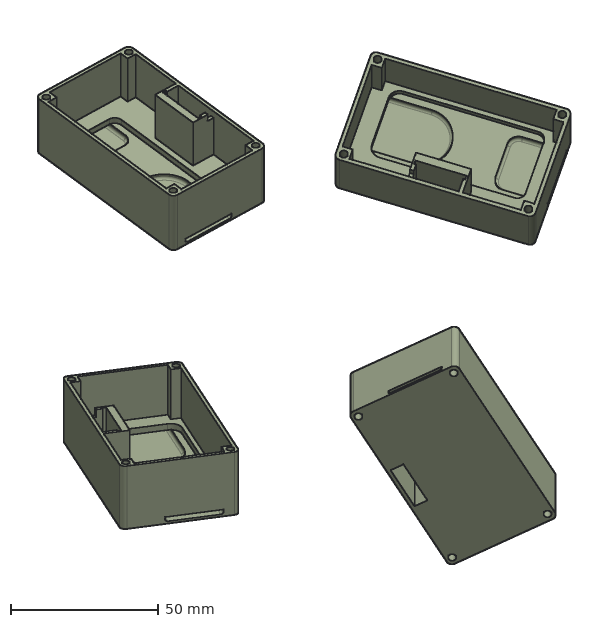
import cadquery as cq

LENGTH = 71.4
WIDTH = 42.0
HEIGHT = 23.9
CORNER_RADIUS = 2.0
WALL = 1.4
FLOOR_TOP = 5.0

POST_SIZE = 3.65
SCREW_DIAMETER = 2.7
SCREW_INSET_X = 2.7
SCREW_INSET_Y = 2.5

HOUSING_LENGTH = 19.7
HOUSING_FRONT_Y = 10.35
OPENING_FRONT_Y = 14.6
GROOVE_DEPTH = 0.7
GROOVE_WIDTH = 1.35
NOTCH_FRONT_Y = 17.0
NOTCH_DEPTH = 2.85

POCKET_LENGTH = 55.25
POCKET_WIDTH = 25.85
POCKET_CENTER_Y = -4.9
POCKET_LEFT_RADIUS = 3.0
POCKET_RIGHT_RADIUS = 4.0
POCKET_FLOOR = 2.65

CHANNEL_WIDTH = 20.7
CHANNEL_FLOOR = 0.9
CHANNEL_EDGE_RADIUS = 1.0
LEFT_CHANNEL_END_X = -15.7
LEFT_CHANNEL_CORNER_RADIUS = 4.0
RIGHT_CHANNEL_END_X = 2.2

INNER_LENGTH = LENGTH - 2 * WALL
INNER_WIDTH = WIDTH - 2 * WALL
INNER_BACK_Y = INNER_WIDTH / 2
OVERRUN = 3.6


def block(x_range, y_range, z_range):
    """Box spanning the given ranges."""
    (x0, x1), (y0, y1), (z0, z1) = x_range, y_range, z_range
    return cq.Workplane("XY").box(x1 - x0, y1 - y0, z1 - z0, centered=False).translate((x0, y0, z0))


def make_shell():
    """Open-topped box with a square post in each inner corner."""
    outer = cq.Workplane("XY").rect(LENGTH, WIDTH).extrude(HEIGHT).edges("|Z").fillet(CORNER_RADIUS)
    cavity = cq.Workplane("XY").workplane(offset=FLOOR_TOP).rect(INNER_LENGTH, INNER_WIDTH).extrude(HEIGHT)
    posts = (
        cq.Workplane("XY")
        .workplane(offset=FLOOR_TOP)
        .rect(INNER_LENGTH - POST_SIZE, INNER_WIDTH - POST_SIZE, forConstruction=True)
        .vertices()
        .rect(POST_SIZE, POST_SIZE)
        .extrude(HEIGHT)
    )
    return outer.cut(cavity.cut(posts))


def make_screw_holes():
    """Cylinders through the full height at the four posts."""
    return (
        cq.Workplane("XY")
        .rect(LENGTH - 2 * SCREW_INSET_X, WIDTH - 2 * SCREW_INSET_Y, forConstruction=True)
        .vertices()
        .circle(SCREW_DIAMETER / 2)
        .extrude(HEIGHT)
    )


def add_housing(body):
    """Three-sided housing with a through opening, a panel groove and a notched +X side."""
    half_length = HOUSING_LENGTH / 2
    half_opening = half_length - WALL
    half_groove = half_opening + GROOVE_DEPTH
    groove_front_y = OPENING_FRONT_Y - GROOVE_WIDTH

    housing = block((-half_length, half_length), (HOUSING_FRONT_Y, INNER_BACK_Y), (FLOOR_TOP, HEIGHT))
    opening = block((-half_opening, half_opening), (OPENING_FRONT_Y, INNER_BACK_Y), (0, HEIGHT))
    groove = block((-half_groove, half_groove), (groove_front_y, OPENING_FRONT_Y), (FLOOR_TOP, HEIGHT))
    notch = block((half_opening, half_length), (NOTCH_FRONT_Y, INNER_BACK_Y), (HEIGHT - NOTCH_DEPTH, HEIGHT))
    return body.union(housing).cut(opening).cut(groove).cut(notch)


def make_pocket():
    """Rectangle with tighter corners at -X than at +X, cut from the floor."""
    return (
        cq.Workplane("XY")
        .workplane(offset=POCKET_FLOOR)
        .center(0, POCKET_CENTER_Y)
        .rect(POCKET_LENGTH, POCKET_WIDTH)
        .extrude(FLOOR_TOP - POCKET_FLOOR)
        .edges("|Z and <X")
        .fillet(POCKET_LEFT_RADIUS)
        .edges("|Z and >X")
        .fillet(POCKET_RIGHT_RADIUS)
    )


def make_left_channel():
    """Channel with two rounded inner corners, open at -X."""
    start_x = -LENGTH / 2 - OVERRUN
    half_width = CHANNEL_WIDTH / 2
    y_range = (POCKET_CENTER_Y - half_width, POCKET_CENTER_Y + half_width)
    channel = block((start_x, LEFT_CHANNEL_END_X), y_range, (CHANNEL_FLOOR, POCKET_FLOOR))
    return channel.edges("|Z and >X").fillet(LEFT_CHANNEL_CORNER_RADIUS).faces("<Z").edges().fillet(
        CHANNEL_EDGE_RADIUS
    )


def make_right_channel():
    """Channel with a semicircular inner end, open at +X."""
    end_x = LENGTH / 2 + OVERRUN
    half_width = CHANNEL_WIDTH / 2
    arc_center_x = RIGHT_CHANNEL_END_X + half_width
    return (
        cq.Workplane("XY")
        .workplane(offset=CHANNEL_FLOOR)
        .center(0, POCKET_CENTER_Y)
        .moveTo(end_x, half_width)
        .lineTo(arc_center_x, half_width)
        .threePointArc((RIGHT_CHANNEL_END_X, 0), (arc_center_x, -half_width))
        .lineTo(end_x, -half_width)
        .close()
        .extrude(POCKET_FLOOR - CHANNEL_FLOOR)
        .faces("<Z")
        .edges()
        .fillet(CHANNEL_EDGE_RADIUS)
    )


body = make_shell().cut(make_screw_holes())
body = add_housing(body)
body = body.cut(make_pocket())
result = body.cut(make_left_channel()).cut(make_right_channel())